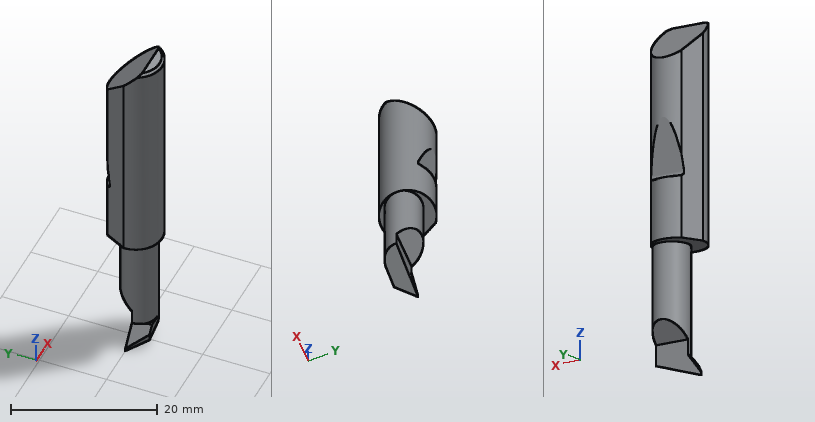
import cadquery as cq
import math

length = 50.8
shank_diameter = 7.95
shank_radius = shank_diameter / 2
shank_bottom = 19.05
top_chamfer = 0.4

slope_front_y = -2.2
slope_back_z = 44.85

flat_angle = 27
flat_distance = 3.58

notch_bottom = 28.0
notch_tilt = 9
notch_floor_y = 2.65
notch_height = 12.7
notch_corner_radius = 0.6

neck_diameter = 5.35
neck_radius = neck_diameter / 2
neck_x = shank_radius - neck_radius
relief_top = 8.15

tip_top = 3.3
tip_nose_x = -3.6
nose_height = 0.45
tip_root_x = neck_x - neck_radius
bottom_angle = 18.2
bottom_slope = math.tan(math.radians(bottom_angle))
flank_slope = (tip_top - nose_height) / (tip_root_x - tip_nose_x)

bottom_clearance = 0.45
flank_clearance = 0.85
nose_clearance = 2.2

margin = 2.55


def prism_between(back_points, front_points):
    """Solid between an XZ outline at Y = 0 and one at the front of the neck."""
    back = cq.Wire.makePolygon([cq.Vector(x, 0, z) for x, z in back_points], close=True)
    front = cq.Wire.makePolygon([cq.Vector(x, -neck_radius, z) for x, z in front_points], close=True)
    return cq.Workplane(obj=cq.Solid.makeLoft([back, front], True))


def side_prism(points):
    """Extrude a YZ outline across the full width of the part."""
    return cq.Workplane("YZ").polyline(points).close().extrude(shank_diameter, both=True)


def bottom_z(x, lift):
    return lift + (x - tip_nose_x) * bottom_slope


def tip_outline(nose_shift, flank_shift, lift):
    nose_x = tip_nose_x + nose_shift
    flank_z = tip_top + (nose_x - tip_root_x - flank_shift) * flank_slope
    return [
        (nose_x, bottom_z(nose_x, lift)),
        (nose_x, flank_z),
        (tip_root_x + flank_shift, tip_top),
        (neck_x, tip_top),
        (neck_x, bottom_z(neck_x, lift)),
    ]


def neck_end_outline(lift):
    """Waste below the end of the neck; the tip replaces its left half."""
    right = shank_radius + margin
    return [
        (-shank_radius, tip_top),
        (neck_x, tip_top),
        (neck_x, bottom_z(neck_x, lift)),
        (right, bottom_z(right, lift)),
        (right, -margin),
        (-shank_radius, -margin),
    ]


def make_shank():
    shank = (
        cq.Workplane("XY", origin=(0, 0, shank_bottom))
        .circle(shank_radius)
        .extrude(length - shank_bottom)
        .faces(">Z")
        .chamfer(top_chamfer)
    )
    flat_waste = (
        cq.Workplane("XY")
        .box(shank_diameter, 2 * shank_diameter, length, centered=(False, True, False))
        .translate((flat_distance, 0, 0))
        .rotate((0, 0, 0), (0, 0, 1), 180 - flat_angle)
    )
    slope = (length - slope_back_z) / (shank_radius - slope_front_y)
    waste_back_y = shank_radius + margin
    slope_waste = side_prism([
        (slope_front_y - margin, length + margin * slope),
        (waste_back_y, slope_back_z - margin * slope),
        (waste_back_y, length + margin * slope),
    ])
    notch_waste = (
        cq.Workplane("XY")
        .box(2 * shank_diameter, shank_radius, notch_height, centered=(True, False, False))
        .edges("|X and <Y and <Z")
        .fillet(notch_corner_radius)
        .rotate((0, 0, 0), (1, 0, 0), -notch_tilt)
        .translate((0, notch_floor_y, notch_bottom))
    )
    return shank.cut(flat_waste).cut(slope_waste).cut(notch_waste)


def make_neck():
    neck = cq.Workplane("XY").center(neck_x, 0).circle(neck_radius).extrude(shank_bottom)
    relief_waste = side_prism([
        (0, -margin),
        (0, relief_top - neck_radius),
        (neck_radius + margin, relief_top + margin),
        (neck_radius + margin, -margin),
    ])
    end_waste = prism_between(neck_end_outline(0), neck_end_outline(bottom_clearance))
    return neck.cut(relief_waste).cut(end_waste)


def make_tip():
    rake_outline = tip_outline(0, 0, 0)
    front_outline = tip_outline(nose_clearance, flank_clearance, bottom_clearance)
    return prism_between(rake_outline, front_outline)


result = make_shank().union(make_neck()).union(make_tip())